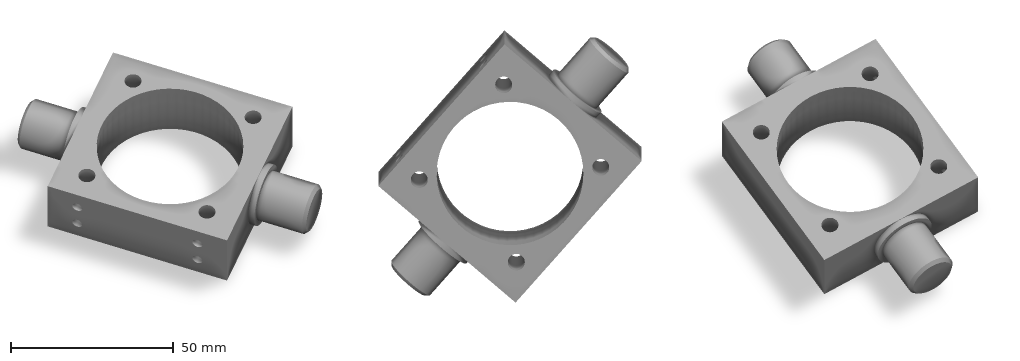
import cadquery as cq
import math

block_x = 59.1
block_y = 56.0
block_z = 20.0
bore_diameter = 45.1

bolt_circle_diameter = 56.0
bolt_hole_diameter = 5.2
bolt_offset = bolt_circle_diameter / 2 * math.cos(math.radians(45))

cross_hole_diameter = 3.3
cross_hole_spacing_z = 8.0
cross_hole_depth = block_y / 2 - bolt_offset

overall_length = 95.0
collar_diameter = 19.7
collar_width = 2.0
journal_diameter = 16.0
journal_chamfer = 1.0


def trunnion(side):
    """Collar and chamfered journal on the +X (side=1) or -X (side=-1) face."""
    face = cq.Workplane("YZ", origin=(side * block_x / 2, 0, 0))
    collar = face.circle(collar_diameter / 2).extrude(side * collar_width)
    journal_length = (overall_length - block_x) / 2
    end_face = ">X" if side > 0 else "<X"
    journal = (
        face.circle(journal_diameter / 2)
        .extrude(side * journal_length)
        .faces(end_face)
        .chamfer(journal_chamfer)
    )
    return collar.union(journal)


def vertical_holes():
    """Central bore and four bolt holes through the full height."""
    base = cq.Workplane("XY", origin=(0, 0, -block_z / 2))
    bore = base.circle(bore_diameter / 2).extrude(block_z)
    bolts = (
        base.rect(2 * bolt_offset, 2 * bolt_offset, forConstruction=True)
        .vertices()
        .circle(bolt_hole_diameter / 2)
        .extrude(block_z)
    )
    return bore.union(bolts)


def cross_holes():
    """Two pairs of holes running from the -Y face to the bolt hole axes."""
    return (
        cq.Workplane("XZ", origin=(0, -block_y / 2, 0))
        .rect(2 * bolt_offset, cross_hole_spacing_z, forConstruction=True)
        .vertices()
        .circle(cross_hole_diameter / 2)
        .extrude(-cross_hole_depth)
    )


result = cq.Workplane("XY").box(block_x, block_y, block_z)
for side in (-1, 1):
    result = result.union(trunnion(side))
result = result.cut(vertical_holes()).cut(cross_holes())